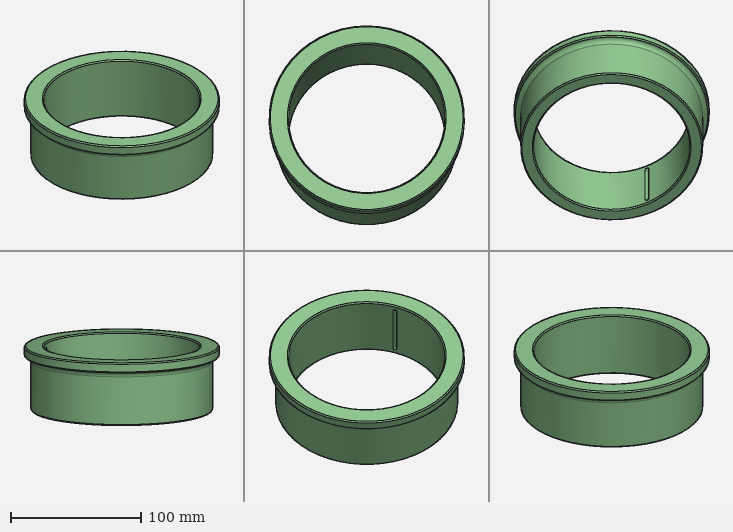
import cadquery as cq

flange_diameter = 150.0
body_diameter = 140.0
bore_diameter = 120.0
height = 50.0
flange_thickness = 8.0
chamfer = 1.0
neck_fillet = 3.8

groove_length = 41.4
groove_diameter = 3.0


def flanged_ring():
    """Revolve the wall section: chamfered rims and a fillet under the flange."""
    flange_radius = flange_diameter / 2
    body_radius = body_diameter / 2
    bore_radius = bore_diameter / 2
    flange_bottom = height - flange_thickness
    section = (
        cq.Workplane("XZ")
        .moveTo(bore_radius + chamfer, 0)
        .lineTo(body_radius - chamfer, 0)
        .lineTo(body_radius, chamfer)
        .lineTo(body_radius, flange_bottom - neck_fillet)
        .radiusArc((body_radius + neck_fillet, flange_bottom), neck_fillet)
        .lineTo(flange_radius - chamfer, flange_bottom)
        .lineTo(flange_radius, flange_bottom + chamfer)
        .lineTo(flange_radius, height - chamfer)
        .lineTo(flange_radius - chamfer, height)
        .lineTo(bore_radius + chamfer, height)
        .lineTo(bore_radius, height - chamfer)
        .lineTo(bore_radius, chamfer)
        .close()
    )
    return section.revolve(360, (0, 0, 0), (0, 1, 0))


def groove_cutter():
    """Upright ball-ended rod centred on the bore surface, midway up the ring."""
    rod_radius = groove_diameter / 2
    half_length = groove_length / 2
    ball_centre = half_length - rod_radius
    half_section = (
        cq.Workplane("XZ")
        .moveTo(0, -half_length)
        .radiusArc((rod_radius, -ball_centre), -rod_radius)
        .lineTo(rod_radius, ball_centre)
        .radiusArc((0, half_length), -rod_radius)
        .close()
    )
    rod = half_section.revolve(360, (0, 0, 0), (0, 1, 0))
    return rod.translate((bore_diameter / 2, 0, height / 2))


result = flanged_ring().cut(groove_cutter())